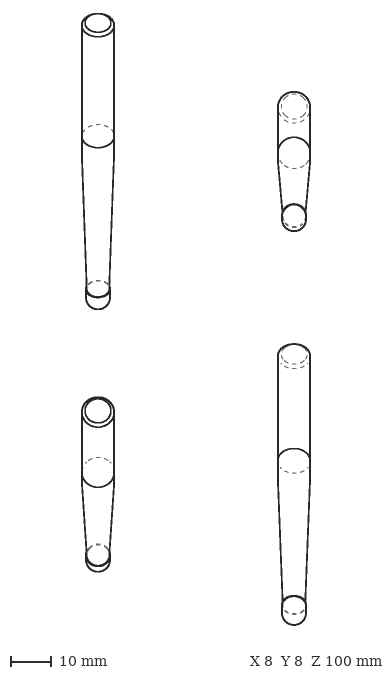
import cadquery as cq
import math

total_length = 100.0
shank_diameter = 8.0
shank_length = 40.0
shank_chamfer = 0.8

ball_diameter = 6.0
tip_length = ball_diameter

collar_length = 7.2
neck_end_diameter = 5.6

shank_radius = shank_diameter / 2
ball_radius = ball_diameter / 2
neck_end_radius = neck_end_diameter / 2
shank_bottom = total_length - shank_length
collar_bottom = shank_bottom - collar_length


def revolve_about_z(profile):
    """Turn a closed radius-height profile, drawn on XZ, about the Z axis."""
    return profile.revolve(360, (0, 0, 0), (0, 1, 0))


def make_shank():
    """Plain cylinder with a chamfered top edge."""
    return (
        cq.Workplane("XY", origin=(0, 0, shank_bottom))
        .circle(shank_radius)
        .extrude(shank_length)
        .faces(">Z")
        .edges()
        .chamfer(shank_chamfer)
    )


def make_neck():
    """Straight collar that tapers down to the tip."""
    profile = (
        cq.Workplane("XZ")
        .moveTo(0, tip_length)
        .lineTo(neck_end_radius, tip_length)
        .lineTo(shank_radius, collar_bottom)
        .lineTo(shank_radius, shank_bottom)
        .lineTo(0, shank_bottom)
        .close()
    )
    return revolve_about_z(profile)


def make_tip():
    """Short cylinder closed below by a hemisphere."""
    arc_middle = ball_radius * math.sqrt(0.5)
    profile = (
        cq.Workplane("XZ")
        .moveTo(0, 0)
        .threePointArc((arc_middle, ball_radius - arc_middle), (ball_radius, ball_radius))
        .lineTo(ball_radius, tip_length)
        .lineTo(0, tip_length)
        .close()
    )
    return revolve_about_z(profile)


shank = make_shank()
neck = make_neck()
tip = make_tip()

result = cq.Compound.makeCompound([shank.val(), neck.val(), tip.val()])